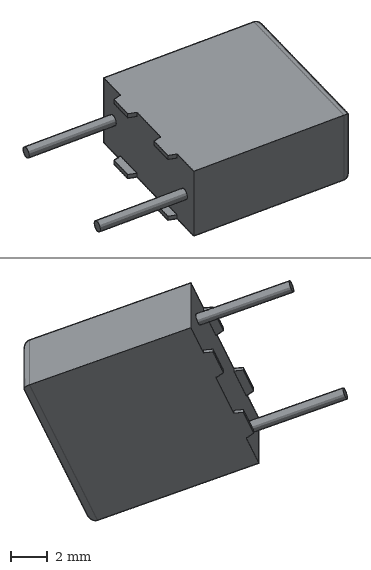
import cadquery as cq

HOUSING_WIDTH = 9.5
HOUSING_HEIGHT = 4.5
OVERALL_LENGTH = 15.5
LEAD_LENGTH = 5.5
HOUSING_LENGTH = OVERALL_LENGTH - LEAD_LENGTH
BACK_EDGE_RADIUS = 0.5

TAB_BASE_WIDTH = 1.75
TAB_TIP_WIDTH = 1.45
TAB_PROJECTION = 0.5
TAB_THICKNESS = 0.28
TAB_SPACING = 4.23

LEAD_DIAMETER = 0.65
LEAD_SPACING = 7.5


def make_tab(center_x, bottom_z):
    """One trapezoidal tab standing on the -Y face of the housing, which lies at Y = 0."""
    half_base = TAB_BASE_WIDTH / 2
    half_tip = TAB_TIP_WIDTH / 2
    return (
        cq.Workplane("XY", origin=(center_x, 0, bottom_z))
        .moveTo(-half_base, 0)
        .lineTo(-half_tip, -TAB_PROJECTION)
        .lineTo(half_tip, -TAB_PROJECTION)
        .lineTo(half_base, 0)
        .close()
        .extrude(TAB_THICKNESS)
    )


def make_housing():
    """Block with rounded back edges and four stand-off tabs."""
    body = (
        cq.Workplane("XY")
        .box(HOUSING_WIDTH, HOUSING_LENGTH, HOUSING_HEIGHT, centered=(True, False, True))
        .faces(">Y")
        .edges()
        .fillet(BACK_EDGE_RADIUS)
    )
    lower_tab_z = -HOUSING_HEIGHT / 2
    upper_tab_z = HOUSING_HEIGHT / 2 - TAB_THICKNESS
    for center_x in (-TAB_SPACING / 2, TAB_SPACING / 2):
        for bottom_z in (lower_tab_z, upper_tab_z):
            body = body.union(make_tab(center_x, bottom_z))
    return body


def make_lead(center_x):
    """Straight round lead running in -Y from the housing face."""
    return (
        cq.Workplane("XZ", origin=(center_x, 0, 0))
        .circle(LEAD_DIAMETER / 2)
        .extrude(LEAD_LENGTH)
    )


housing = make_housing()
leads = [make_lead(center_x) for center_x in (-LEAD_SPACING / 2, LEAD_SPACING / 2)]

result = cq.Compound.makeCompound([housing.val(), *[lead.val() for lead in leads]])